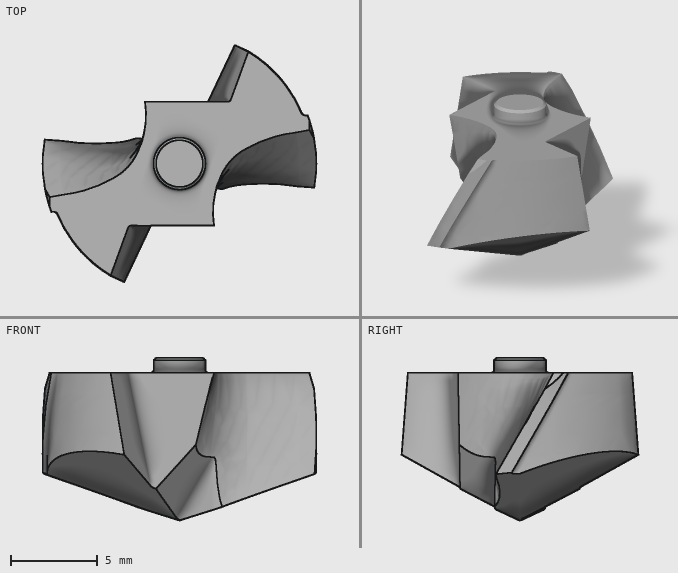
import math

import cadquery as cq


tip_depth = 8.53
margin_radius = 7.9
clearance_radius = 7.63
clearance_relief = 0.13
clearance_sag = 0.3
helix_angle = 30.0
reach = 40.0

boss_radius = 1.5
boss_height = 0.86
boss_chamfer = 0.15
boss_root_fillet = 0.14

margin_front_angle = 14.4
margin_back_angle = 20.7
step_middle_radius = 7.68
step_middle_angle = 21.6
clearance_front_angle = 23.0
clearance_back_angle = 100.0
flute_tail = (2.2, -4.4)
flute_tail_middle = (1.94, -2.7)
flute_heel = (2.26, -1.05)
flute_heel_middle = (2.81, 0.0)
flute_floor = (3.83, 0.85)
flute_floor_middle = (5.2, 1.46)
flute_lip = (6.69, 1.79)

flat_offset = 3.57
flat_lean = 1.0
corner_x = 2.92
driven_face_angle = 20.0
driven_face_lean = 11.0
corner_fillet = 0.2

lead_in_x = 7.49
lead_in_angle = 16.5

point_slope_angle = 19.5
primary_relief_angle = 3.4
secondary_relief_angle = 21.3

gash_floor_depth = 8.40
gash_floor_slope_x = 47.4
gash_floor_slope_y = 42.6
gash_wall_start = (0.1, -0.1)
gash_wall_end = (1.9, -1.31)
gash_turn_end = (2.8, -1.39)
gash_fillet = 0.3


def slope(angle):
    return math.tan(math.radians(angle))


def polar(radius, angle):
    turn = math.radians(angle)
    return (radius * math.cos(turn), radius * math.sin(turn))


def opposite(point):
    return (-point[0], -point[1])


def half_turn(shape):
    return shape.rotate((0, 0, 0), (0, 0, 1), 180)


def block_beyond(point, normal):
    """Large block on the side of a plane that its normal points to."""
    plane = cq.Plane(origin=point, normal=normal)
    return cq.Workplane(plane).rect(2 * reach, 2 * reach).extrude(reach)


def cut_both(body, cutter):
    return body.cut(cutter).cut(half_turn(cutter))


def add_lobe(outline, place):
    """Flute, margin and clearance of one lobe, ending at the next flute."""
    middle_radius = clearance_radius - clearance_sag * clearance_relief
    back_radius = clearance_radius - clearance_relief
    margin_middle = (margin_front_angle + margin_back_angle) / 2
    clearance_middle = (clearance_front_angle + clearance_back_angle) / 2
    arcs_of_flute = [
        (flute_tail_middle, flute_heel),
        (flute_heel_middle, flute_floor),
        (flute_floor_middle, flute_lip),
    ]
    arcs_of_land = [
        (polar(margin_radius, margin_middle), polar(margin_radius, margin_back_angle)),
        (polar(step_middle_radius, step_middle_angle), polar(clearance_radius, clearance_front_angle)),
        (polar(middle_radius, clearance_middle), polar(back_radius, clearance_back_angle)),
    ]
    for middle, end in arcs_of_flute:
        outline = outline.threePointArc(place(middle), place(end))
    outline = outline.lineTo(*place(polar(margin_radius, margin_front_angle)))
    for middle, end in arcs_of_land:
        outline = outline.threePointArc(place(middle), place(end))
    return outline


def twisted_body():
    twist = math.degrees(tip_depth * slope(helix_angle) / margin_radius)
    outline = cq.Workplane("XY").moveTo(*flute_tail)
    outline = add_lobe(outline, lambda point: point)
    outline = outline.lineTo(*opposite(flute_tail))
    outline = add_lobe(outline, opposite).close()
    return outline.twistExtrude(-tip_depth, twist)


def driving_corner():
    """Cutter with a flat wall and a leaning wall that meet in a rounded corner."""
    lean = slope(driven_face_lean)
    turn = slope(driven_face_angle)
    behind_flat = block_beyond((0, flat_offset, 0), (0, 1, -slope(flat_lean)))
    driven_face = block_beyond((corner_x, flat_offset, 0), (-1, turn, lean))
    cutter = behind_flat.intersect(driven_face)
    corner = cq.selectors.NearestToPointSelector((corner_x, flat_offset, 0))
    return cutter.edges(corner).fillet(corner_fillet)


def lead_in():
    return block_beyond((lead_in_x, 0, 0), (1, 0, slope(lead_in_angle)))


def relief(y_slope):
    return block_beyond((0, 0, -tip_depth), (slope(point_slope_angle), y_slope, -1))


def gash():
    """Cutter with a sloping floor above and an upright wall beside the web."""
    run_x = gash_wall_end[0] - gash_wall_start[0]
    run_y = gash_wall_end[1] - gash_wall_start[1]
    extension = 3.0
    wall_far = (gash_wall_start[0] - extension * run_x, gash_wall_start[1] - extension * run_y)
    side = margin_radius + 1
    footprint = (
        cq.Workplane("XY", origin=(0, 0, -2 * tip_depth))
        .moveTo(*wall_far)
        .lineTo(*gash_wall_end)
        .tangentArcPoint(gash_turn_end, relative=False)
        .lineTo(side, gash_turn_end[1])
        .lineTo(side, -side)
        .lineTo(wall_far[0], -side)
        .close()
        .extrude(4 * tip_depth)
    )
    floor = block_beyond(
        (0, 0, -gash_floor_depth),
        (slope(gash_floor_slope_x), -slope(gash_floor_slope_y), -1),
    )
    cutter = footprint.intersect(floor)
    root_x = (gash_wall_start[0] + gash_wall_end[0]) / 2
    root_y = (gash_wall_start[1] + gash_wall_end[1]) / 2
    root_depth = gash_floor_depth - root_x * slope(gash_floor_slope_x) + root_y * slope(gash_floor_slope_y)
    root = cq.selectors.NearestToPointSelector((root_x, root_y, -root_depth))
    return cutter.edges(root).fillet(gash_fillet)


def boss():
    pin = cq.Workplane("XY").circle(boss_radius).extrude(boss_height)
    pin = pin.faces(">Z").edges().chamfer(boss_chamfer)
    root_radius = boss_radius + boss_root_fillet
    arc_offset = boss_root_fillet * (1 - math.sqrt(0.5))
    root = (
        cq.Workplane("XZ")
        .lineTo(root_radius, 0)
        .threePointArc((boss_radius + arc_offset, arc_offset), (boss_radius, boss_root_fillet))
        .lineTo(0, boss_root_fillet)
        .close()
        .revolve(360, (0, 0, 0), (0, 1, 0))
    )
    return pin.union(root)


body = twisted_body()
body = cut_both(body, driving_corner())
body = cut_both(body, lead_in())
body = cut_both(body, relief(slope(primary_relief_angle)))
body = cut_both(body, relief(slope(secondary_relief_angle)))
body = cut_both(body, gash())
result = body.union(boss())